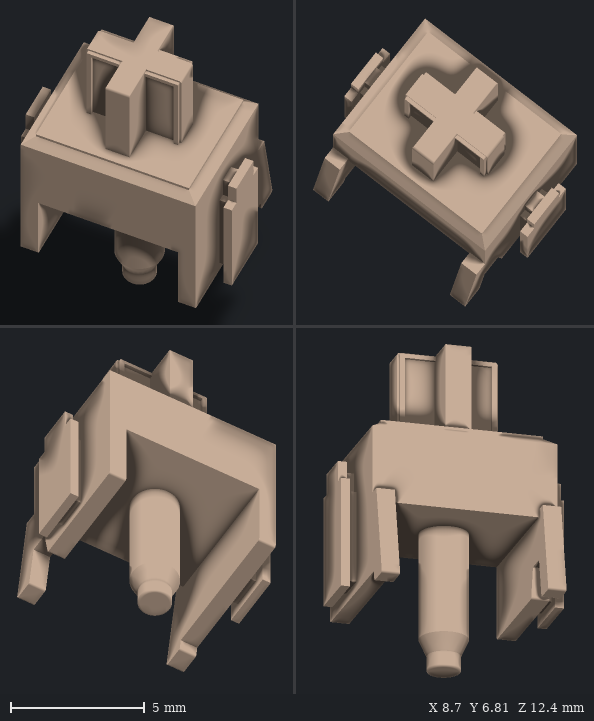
import cadquery as cq


total_height = 12.4
body_length = 7.22
body_width = 5.59
body_floor = 5.5
shoulder_height = 8.5
shoulder_rise = 0.3
plateau_length = 6.32
plateau_width = 4.82
plateau_height = 8.9

leg_thickness = 0.72
leg_bottom = 2.6
hook_top = 5.82
hook_bottom = 2.2
hook_ledge = 0.52
hook_slope = 0.2
edge_radius = 0.1
notch_top = 3.8
notch_rear = 2.81
notch_front = 2.01
plain_hook_foot = 2.98

overall_length = 8.7
plate_thickness = 0.35
plate_width, plate_neck_width = 2.33, 1.51
plate_shoulder, plate_top = 6.91, 7.73
web_width, web_neck_width = 1.31, 0.72
web_bottom, web_shoulder, web_top = 3.01, 6.6, 7.44

pin_radius = 1.9 / 2
tip_radius = 1.3 / 2
cone_bottom = 0.63
cone_top = 1.3

stem_span = 3.93
stem_thickness = 1.0
stem_end_radius = 0.11
small_radius = 0.05
lip_span = 3.78
lip_thickness = 0.15
lip_top = 12.33
recess_span = 3.4
recess_top = 12.16


def box(x_range, y_range, z_range):
    """Axis-aligned block spanning the given ranges."""
    size = [high - low for low, high in (x_range, y_range, z_range)]
    corner = (x_range[0], y_range[0], z_range[0])
    return cq.Workplane("XY").box(*size, centered=False).translate(corner)


def centered_box(length, width, bottom, top):
    """Block centred on the Z axis."""
    return box((-length / 2, length / 2), (-width / 2, width / 2), (bottom, top))


def make_housing():
    block = centered_box(body_length, body_width, body_floor, shoulder_height)
    shoulder_top = shoulder_height + shoulder_rise
    shoulder = (
        cq.Workplane("XY")
        .workplane(offset=shoulder_height)
        .rect(body_length, body_width)
        .workplane(offset=shoulder_rise)
        .rect(plateau_length, plateau_width)
        .loft(ruled=True)
    )
    plateau = centered_box(plateau_length, plateau_width, shoulder_top, plateau_height)
    return block.union(shoulder).union(plateau)


def make_leg(x_start, notched):
    """Leg with its rear hook; the notch splits the hook from the leg."""
    front = -body_width / 2
    rear = body_width / 2
    ledge = rear + hook_ledge
    hook_tip = ledge + hook_slope * (hook_top - hook_bottom)
    outline = [
        (front, leg_bottom),
        (front, hook_top),
        (ledge, hook_top),
        (hook_tip, hook_bottom),
    ]
    if notched:
        outline += [
            (notch_rear + hook_slope * (notch_top - hook_bottom), hook_bottom),
            (notch_rear, notch_top),
            (notch_front, notch_top),
            (notch_front - hook_slope * (notch_top - leg_bottom), leg_bottom),
        ]
    else:
        outline += [
            (plain_hook_foot + hook_slope * (leg_bottom - hook_bottom), hook_bottom),
            (plain_hook_foot, leg_bottom),
        ]
    leg = cq.Workplane("YZ").polyline(outline).close().extrude(leg_thickness)
    lower_zone = cq.selectors.BoxSelector(
        (0, front - edge_radius, hook_bottom - edge_radius),
        (leg_thickness, hook_tip + edge_radius, leg_bottom + edge_radius),
    )
    bottom_edges = leg.edges("|X").edges(lower_zone)
    if not notched:
        inner_corner = cq.selectors.NearestToPointSelector(
            (leg_thickness / 2, plain_hook_foot, leg_bottom)
        )
        bottom_edges = bottom_edges.edges(cq.selectors.InverseSelector(inner_corner))
    leg = bottom_edges.fillet(edge_radius)
    return leg.translate((x_start, 0, 0))


def stepped_plate(x_range, width, neck_width, bottom, shoulder, top):
    """Upright plate whose upper end narrows to a neck."""
    lower = box(x_range, (-width / 2, width / 2), (bottom, shoulder))
    neck = box(x_range, (-neck_width / 2, neck_width / 2), (shoulder, top))
    return lower.union(neck)


def make_clip():
    """Clip on the +X side: a plate carried by a web off the leg."""
    outer = overall_length / 2
    inner = outer - plate_thickness
    plate = stepped_plate(
        (inner, outer), plate_width, plate_neck_width, leg_bottom, plate_shoulder, plate_top
    )
    web = stepped_plate(
        (body_length / 2, inner), web_width, web_neck_width, web_bottom, web_shoulder, web_top
    )
    return plate.union(web)


def make_pin():
    profile = [
        (0, 0),
        (tip_radius, 0),
        (tip_radius, cone_bottom),
        (pin_radius, cone_top),
        (pin_radius, body_floor),
        (0, body_floor),
    ]
    pin = cq.Workplane("XZ").polyline(profile).close().revolve(360, (0, 0), (0, 1))
    return pin.faces("<Z").edges().fillet(edge_radius)


def make_stem():
    along_x = centered_box(stem_span, stem_thickness, plateau_height, total_height)
    along_x = along_x.faces(">Z").edges("|Y").fillet(stem_end_radius)

    y_arms = centered_box(stem_thickness, stem_span, plateau_height, total_height)
    rounded_ends = y_arms.faces(">Z").edges("|X").fillet(stem_end_radius)
    rounded_sides = y_arms.faces(">Z").edges("|Y").fillet(small_radius)
    along_y = rounded_ends.intersect(rounded_sides)

    lip_width = stem_thickness + 2 * lip_thickness
    lip = centered_box(lip_span, lip_width, plateau_height, lip_top)
    lip = lip.faces(">Z").edges("|Y").fillet(small_radius)
    recess = centered_box(recess_span, lip_width, plateau_height, recess_top)
    return lip.cut(recess).union(along_x).union(along_y)


clip = make_clip()
result = (
    make_housing()
    .union(make_leg(-body_length / 2, notched=True))
    .union(make_leg(body_length / 2 - leg_thickness, notched=False))
    .union(clip)
    .union(clip.mirror("YZ"))
    .union(make_pin())
    .union(make_stem())
)